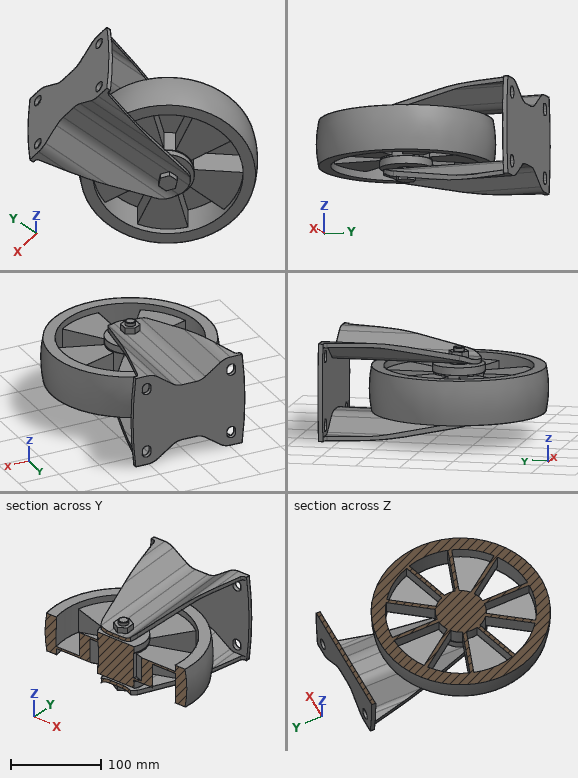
import cadquery as cq
import math


wheel_diameter = 199.5
tread_edge_diameter = 194.3
wheel_width = 50.5
rim_inner_diameter = 167.0
hub_diameter = 58.5
hub_length = 55.3
hub_flange_thickness = 8.8
hub_core_diameter = 57.0
web_depth = 8.0
web_thickness = 3.5
web_wall_thickness = 5.0
web_pairs = 5

spacer_diameter = 20.0
axle_diameter = 12.0
axle_end = 46.0
axle_chamfer = 0.7
hex_across_flats = 19.0
hex_height = 7.3

overall_length = 244.6
plate_height = 110.0
plate_thickness = 5.1
plate_end_width = 132.0
plate_middle_width = 139.0
slot_width = 10.8
slot_height = 13.7
slot_spacing_x = 105.2
slot_spacing_z = 77.8

leg_thickness = 5.0
valley_floor_z = 34.3
leg_end_radius = 25.0
leg_taper_angle = 14.0
leg_root_width = 128.2
leg_root_fillet = 4.2
valley_flat_width = 17.4
valley_radius = 20.0
shoulder_start_x = 51.1
shoulder_radius = 20.8
shoulder_inner_radius = 10.0

plate_outer_y = overall_length - wheel_diameter / 2
plate_inner_y = plate_outer_y - plate_thickness
leg_top_z = plate_height / 2

bend_radius_sum = valley_radius + shoulder_radius
bend_run = shoulder_start_x - valley_flat_width / 2
bend_drop = bend_radius_sum - (leg_top_z - valley_floor_z)
bend = math.asin(bend_radius_sum / math.hypot(bend_run, bend_drop)) - math.atan2(bend_drop, bend_run)


def cylinder(diameter, length):
    """Cylinder about the axle, centred on the origin."""
    return cq.Workplane("XY").circle(diameter / 2).extrude(length / 2, both=True)


def sector_pocket(middle_angle, bottom_z, top_z):
    """Ring sector between hub and rim, narrowed by half a web wall along each straight side."""
    half_angle = math.radians(180 / (2 * web_pairs))
    reach = wheel_diameter
    apex_x = web_wall_thickness / 2 / math.sin(half_angle)
    wedge = (
        cq.Workplane("XY", origin=(0, 0, bottom_z))
        .moveTo(apex_x, 0)
        .lineTo(apex_x + reach, -reach * math.tan(half_angle))
        .lineTo(apex_x + reach, reach * math.tan(half_angle))
        .close()
        .extrude(top_z - bottom_z)
        .rotate((0, 0, 0), (0, 0, 1), middle_angle)
    )
    ring = (
        cq.Workplane("XY", origin=(0, 0, bottom_z))
        .circle(rim_inner_diameter / 2)
        .circle(hub_core_diameter / 2)
        .extrude(top_z - bottom_z)
    )
    return wedge.intersect(ring)


def make_wheel():
    """Crowned wheel whose web zigzags between a high and a low level."""
    half_width = wheel_width / 2
    web_top = half_width - web_depth
    wheel = (
        cq.Workplane("XZ")
        .moveTo(0, -half_width)
        .lineTo(tread_edge_diameter / 2, -half_width)
        .threePointArc((wheel_diameter / 2, 0), (tread_edge_diameter / 2, half_width))
        .lineTo(0, half_width)
        .close()
        .revolve(360, (0, 0, 0), (0, 1, 0))
    )
    recess = cylinder(rim_inner_diameter, wheel_width).cut(cylinder(rim_inner_diameter, 2 * web_top))
    wheel = wheel.cut(recess)
    pitch = 360 / web_pairs
    pocket_floor = web_thickness - web_top
    for index in range(web_pairs):
        high_angle = index * pitch
        low_angle = high_angle + pitch / 2
        wheel = wheel.cut(sector_pocket(low_angle, pocket_floor, web_top))
        wheel = wheel.cut(sector_pocket(high_angle, -web_top, -pocket_floor))
    core_length = hub_length - 2 * hub_flange_thickness
    hub = cylinder(hub_diameter, hub_length)
    undercut = cylinder(hub_diameter, core_length).cut(cylinder(hub_core_diameter, core_length))
    return wheel.union(hub.cut(undercut))


def make_plate():
    """Mounting plate with bowed sides and four upright slots."""
    half_end = plate_end_width / 2
    half_middle = plate_middle_width / 2
    half_height = plate_height / 2
    return (
        cq.Workplane("XZ", origin=(0, plate_outer_y, 0))
        .moveTo(-half_end, half_height)
        .lineTo(half_end, half_height)
        .threePointArc((half_middle, 0), (half_end, -half_height))
        .lineTo(-half_end, -half_height)
        .threePointArc((-half_middle, 0), (-half_end, half_height))
        .close()
        .rarray(slot_spacing_x, slot_spacing_z, 2, 2)
        .slot2D(slot_height, slot_width, 90)
        .extrude(plate_thickness)
    )


def valley_point(radius, angle):
    """Point (X, Z) on an arc about the valley bend axis, with the angle measured from the valley floor."""
    centre_z = valley_floor_z + valley_radius
    return valley_flat_width / 2 + radius * math.sin(angle), centre_z - radius * math.cos(angle)


def shoulder_point(angle):
    """Point (X, Z) on the outer shoulder arc, with the angle measured from the flat flange."""
    centre_z = leg_top_z - shoulder_radius
    return (
        shoulder_start_x - shoulder_radius * math.sin(angle),
        centre_z + shoulder_radius * math.cos(angle),
    )


def shoulder_inner_point(angle):
    """Point (X, Z) on the tighter arc that joins the undersides of the slope and the flange."""
    concentric_radius = shoulder_radius - leg_thickness
    centre_x = shoulder_start_x + (shoulder_inner_radius - concentric_radius) * math.tan(bend / 2)
    centre_z = leg_top_z - leg_thickness - shoulder_inner_radius
    return (
        centre_x - shoulder_inner_radius * math.sin(angle),
        centre_z + shoulder_inner_radius * math.cos(angle),
    )


def leg_surface_line():
    """Outer line of the right half of the bent sheet, from the valley middle to the flat flange."""
    return (
        cq.Workplane("XZ", origin=(0, plate_outer_y, 0))
        .moveTo(0, valley_floor_z)
        .lineTo(valley_flat_width / 2, valley_floor_z)
        .threePointArc(valley_point(valley_radius, bend / 2), valley_point(valley_radius, bend))
        .lineTo(*shoulder_point(bend))
        .threePointArc(shoulder_point(bend / 2), shoulder_point(0))
    )


def leg_sheet():
    """Bent sheet with a central valley, extruded along Y over the whole fork length."""
    valley_inner = valley_radius + leg_thickness
    edge_x = leg_root_width / 2
    half_sheet = (
        leg_surface_line()
        .lineTo(edge_x, leg_top_z)
        .lineTo(edge_x, leg_top_z - leg_thickness)
        .lineTo(*shoulder_inner_point(0))
        .threePointArc(shoulder_inner_point(bend / 2), shoulder_inner_point(bend))
        .lineTo(*valley_point(valley_inner, bend))
        .threePointArc(valley_point(valley_inner, bend / 2), valley_point(valley_inner, 0))
        .lineTo(0, valley_floor_z - leg_thickness)
        .close()
        .extrude(plate_outer_y + leg_end_radius)
    )
    return half_sheet.union(half_sheet.mirror("YZ"))


def plate_notch():
    """Part of the plate above the upper leg's valley, which is left open."""
    half_notch = leg_surface_line().lineTo(0, leg_top_z).close().extrude(plate_thickness)
    return half_notch.union(half_notch.mirror("YZ"))


def leg_outline():
    """Tapered leg blank with a round end at the axle and fillets at the plate."""
    taper = math.radians(leg_taper_angle)
    tangent_x = leg_end_radius * math.cos(taper)
    tangent_y = -leg_end_radius * math.sin(taper)
    root_x = tangent_x + (plate_inner_y - tangent_y) * math.tan(taper)
    edge_x = leg_root_width / 2
    blank = (
        cq.Workplane("XY")
        .moveTo(edge_x, plate_outer_y)
        .lineTo(edge_x, plate_inner_y)
        .lineTo(root_x, plate_inner_y)
        .lineTo(tangent_x, tangent_y)
        .threePointArc((0, -leg_end_radius), (-tangent_x, tangent_y))
        .lineTo(-root_x, plate_inner_y)
        .lineTo(-edge_x, plate_inner_y)
        .lineTo(-edge_x, plate_outer_y)
        .close()
        .extrude(leg_top_z)
    )
    margin = leg_root_fillet / 4
    corner_zone = cq.selectors.BoxSelector(
        (-root_x - margin, plate_inner_y - margin, 0),
        (root_x + margin, plate_inner_y + margin, leg_top_z),
    )
    return blank.edges("|Z").edges(corner_zone).fillet(leg_root_fillet)


def make_axle():
    """Axle with spacers against the hub, a hexagon on each leg and a chamfered upper end."""
    hex_corner_diameter = hex_across_flats / math.cos(math.pi / 6)
    hex_end = valley_floor_z + hex_height
    leg_inner_z = valley_floor_z - leg_thickness
    spacers = cylinder(spacer_diameter, 2 * leg_inner_z)
    shaft = (
        cq.Workplane("XY")
        .circle(axle_diameter / 2)
        .extrude(axle_end)
        .faces(">Z")
        .chamfer(axle_chamfer)
    )
    nut = (
        cq.Workplane("XY", origin=(0, 0, leg_inner_z))
        .polygon(6, hex_corner_diameter)
        .extrude(hex_end - leg_inner_z)
        .rotate((0, 0, 0), (0, 0, 1), 90)
    )
    return spacers.union(shaft).union(nut).union(nut.mirror("XY"))


upper_notch = plate_notch()
plate = make_plate().cut(upper_notch).cut(upper_notch.mirror("XY"))
upper_leg = leg_sheet().intersect(leg_outline())
lower_leg = upper_leg.mirror("XY")

result = make_wheel().union(plate).union(upper_leg).union(lower_leg).union(make_axle())